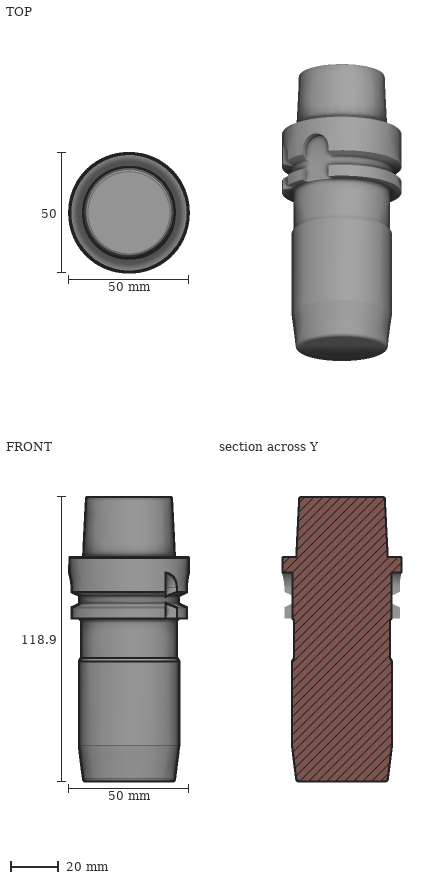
import cadquery as cq
import math


shank_length = 25.0
shank_base_radius = 19.2
shank_top_radius = 17.95
shank_top_fillet = 0.8

flange_diameter = 49.95
flange_radius = flange_diameter / 2
flange_bottom = -25.8
flange_edge_chamfer = 0.4
groove_radius = 21.35
groove_top = -14.75
groove_lip = -21.15
groove_wall_angle = 26.0
groove_root_fillet = 0.5
groove_lip_fillet = 0.4
wall_rise = (flange_radius - groove_radius) * math.tan(math.radians(groove_wall_angle))

overall_length = 118.9
body_bottom = shank_length - overall_length
neck_radius = 40.25 / 2
neck_fillet = 1.0
sleeve_radius = 42.0 / 2
sleeve_top = -43.7
sleeve_lead_in = 1.4
nose_top = -78.8
nose_radius = 19.1
nose_fillet = 1.4

keyway_widths = {-1: 14.0, 1: 12.0}
keyway_top = -6.7
keyway_floor = 20.8

notch_wall_x = 15.2
notch_floor_y = -15.0
notch_runout_radius = 6.3
notch_runout_start = -12.75

flat_angle = 142.0
flat_distance = 19.32
flat_height = 10.4

cut_margin = 5.0


def circles_between(low, high):
    """Select the circular edges around the Z axis from height low to height high."""
    tolerance = 0.01
    return cq.selectors.BoxSelector(
        (-tolerance, -tolerance, low - tolerance),
        (tolerance, tolerance, high + tolerance),
    )


def revolved_body():
    profile = (
        cq.Workplane("XZ")
        .moveTo(0, body_bottom)
        .lineTo(nose_radius, body_bottom)
        .lineTo(sleeve_radius, nose_top)
        .lineTo(sleeve_radius, sleeve_top)
        .lineTo(neck_radius, sleeve_top + sleeve_lead_in)
        .lineTo(neck_radius, flange_bottom - neck_fillet)
        .radiusArc((neck_radius + neck_fillet, flange_bottom), neck_fillet)
        .lineTo(flange_radius, flange_bottom)
        .lineTo(flange_radius, groove_lip)
        .lineTo(groove_radius, groove_lip + wall_rise)
        .lineTo(groove_radius, groove_top - wall_rise)
        .lineTo(flange_radius, groove_top)
        .lineTo(flange_radius, -flange_edge_chamfer)
        .lineTo(flange_radius - flange_edge_chamfer, 0)
        .lineTo(shank_base_radius, 0)
        .lineTo(shank_top_radius, shank_length)
        .lineTo(0, shank_length)
        .close()
    )
    body = profile.revolve(360, (0, 0, 0), (0, 1, 0))
    root_edges = circles_between(groove_lip + wall_rise, groove_top - wall_rise)
    lip_edge = circles_between(groove_lip, groove_lip)
    return (
        body.edges(root_edges)
        .fillet(groove_root_fillet)
        .edges(lip_edge)
        .fillet(groove_lip_fillet)
        .faces(">Z")
        .edges()
        .fillet(shank_top_fillet)
        .faces("<Z")
        .edges()
        .fillet(nose_fillet)
    )


def keyway_cutter(side, width):
    radius = width / 2
    depth = flange_radius + cut_margin - keyway_floor
    return (
        cq.Workplane("YZ", origin=(side * keyway_floor, 0, 0))
        .moveTo(-radius, flange_bottom)
        .lineTo(-radius, keyway_top - radius)
        .threePointArc((0, keyway_top), (radius, keyway_top - radius))
        .lineTo(radius, flange_bottom)
        .close()
        .extrude(side * depth)
    )


def notch_cutter():
    outer_y = notch_floor_y - notch_runout_radius
    return (
        cq.Workplane("YZ", origin=(notch_wall_x, 0, 0))
        .moveTo(notch_floor_y, flange_bottom)
        .lineTo(notch_floor_y, notch_runout_start)
        .radiusArc((outer_y, notch_runout_start + notch_runout_radius), -notch_runout_radius)
        .lineTo(outer_y, flange_bottom)
        .close()
        .extrude(flange_radius)
    )


def flat_cutter():
    depth = neck_radius + neck_fillet - flat_distance
    return (
        cq.Workplane("XY")
        .box(depth, 2 * neck_radius, flat_height, centered=(False, True, False))
        .translate((flat_distance, 0, flange_bottom - flat_height))
        .rotate((0, 0, 0), (0, 0, 1), flat_angle)
    )


result = revolved_body()
for side, width in keyway_widths.items():
    result = result.cut(keyway_cutter(side, width))
result = result.cut(notch_cutter()).cut(flat_cutter())